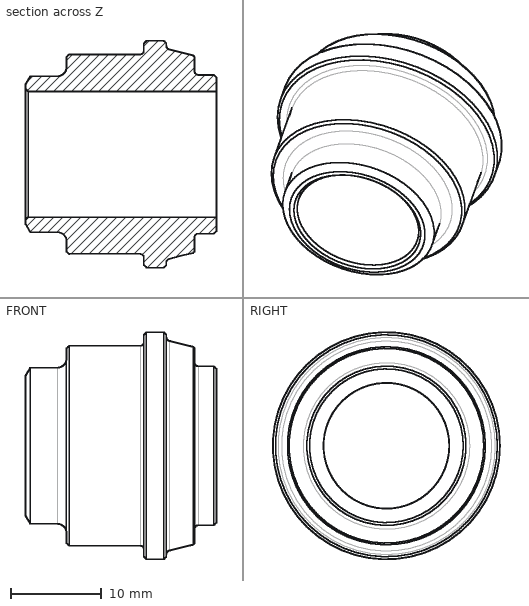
import cadquery as cq
import math

total_length = 21.0
body_start = 4.5
flange_start = 13.0
flange_end = 15.5
cone_end = 18.6

bore_radius = 13.8 / 2
weld_end_radius = 17.2 / 2
body_radius = 22.0 / 2
flange_radius = 25.0 / 2
spigot_radius = 17.5 / 2
cone_end_radius = 10.85
cone_half_angle = 14.0

bevel_height = 0.9
bevel_angle = 30.0
bore_chamfer = 0.3
edge_chamfer = 0.3
cone_edge_chamfer = 0.15
weld_end_fillet = 1.0
step_fillet = 0.4

bevel_length = bevel_height * math.tan(math.radians(bevel_angle))
cone_length = cone_end - flange_end
cone_start_radius = cone_end_radius + cone_length * math.tan(math.radians(cone_half_angle))


def stepped_sleeve():
    """Revolve the sharp-cornered half section about the X axis."""
    section = [
        (0, bore_radius + bore_chamfer),
        (0, weld_end_radius - bevel_height),
        (bevel_length, weld_end_radius),
        (body_start, weld_end_radius),
        (body_start, body_radius),
        (flange_start, body_radius),
        (flange_start, flange_radius),
        (flange_end, flange_radius),
        (flange_end, cone_start_radius),
        (cone_end, cone_end_radius),
        (cone_end, spigot_radius),
        (total_length, spigot_radius),
        (total_length, bore_radius),
        (bore_chamfer, bore_radius),
    ]
    return cq.Workplane("XY").polyline(section).close().revolve(360, (0, 0, 0), (1, 0, 0))


def circular_edge(solid, x, radius):
    """Pick the circular edge of the given radius centred on the axis at x."""
    tolerance = 1e-4

    def matches(edge):
        return (
            edge.geomType() == "CIRCLE"
            and abs(edge.radius() - radius) < tolerance
            and abs(edge.arcCenter().x - x) < tolerance
        )

    return solid.edges().filter(matches)


outer_corners = [
    (body_start, body_radius, edge_chamfer),
    (flange_start, flange_radius, edge_chamfer),
    (flange_end, flange_radius, edge_chamfer),
    (cone_end, cone_end_radius, cone_edge_chamfer),
    (total_length, spigot_radius, edge_chamfer),
]

inner_corners = [
    (body_start, weld_end_radius, weld_end_fillet),
    (flange_start, body_radius, step_fillet),
    (flange_end, cone_start_radius, step_fillet),
    (cone_end, spigot_radius, step_fillet),
]

result = stepped_sleeve()
for x, radius, size in outer_corners:
    result = circular_edge(result, x, radius).chamfer(size)
for x, radius, size in inner_corners:
    result = circular_edge(result, x, radius).fillet(size)